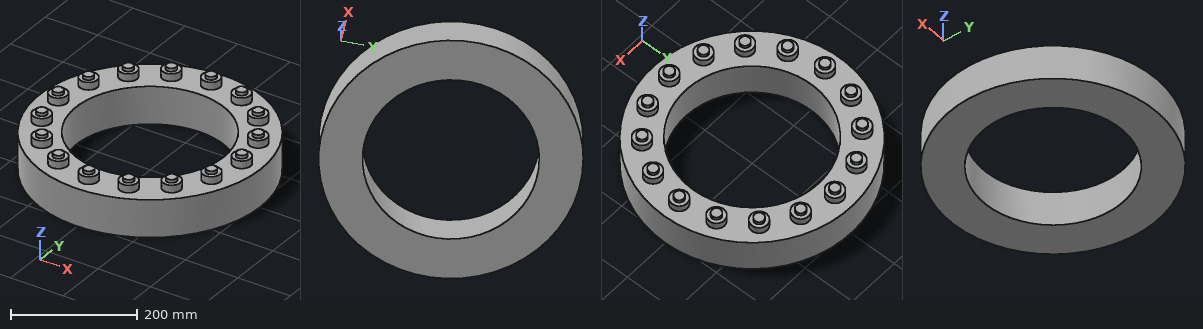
import cadquery as cq

ring_outer_diameter = 420.0
ring_inner_diameter = 280.0
overall_height = 90.0
ring_height = 70.0

boss_count = 16
boss_diameter = 33.0
boss_height = 14.0
pin_diameter = 18.9

boss_circle_radius = (ring_outer_diameter + ring_inner_diameter) / 4
pin_height = overall_height - ring_height - boss_height


def make_ring():
    """Flat ring standing on the XY plane, centred on Z."""
    return (
        cq.Workplane("XY")
        .circle(ring_outer_diameter / 2)
        .circle(ring_inner_diameter / 2)
        .extrude(ring_height)
    )


def make_cylinders(diameter, base_z, height):
    """Circle of equally spaced upright cylinders, the first one on +X."""
    return (
        cq.Workplane("XY", origin=(0, 0, base_z))
        .polarArray(boss_circle_radius, 0, 360, boss_count)
        .circle(diameter / 2)
        .extrude(height)
    )


bosses = make_cylinders(boss_diameter, ring_height, boss_height)
pins = make_cylinders(pin_diameter, ring_height + boss_height, pin_height)

result = make_ring().union(bosses).union(pins)